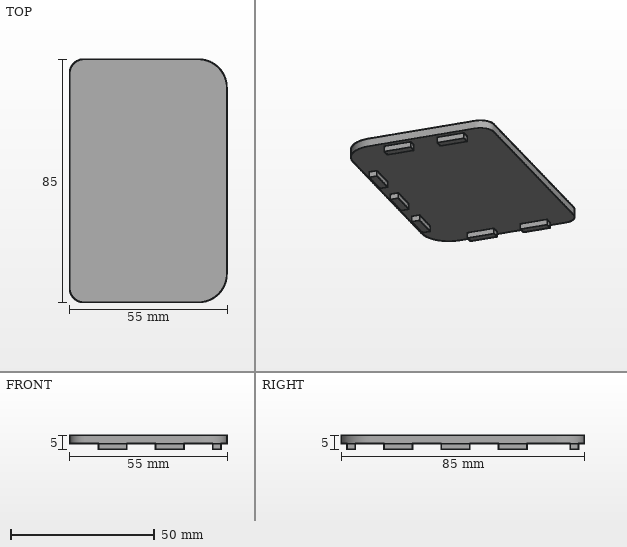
import cadquery as cq

width = 55.0
length = 85.0
plate_thickness = 3.0
left_corner_radius = 5.0
right_corner_radius = 10.0

tab_length = 10.0
tab_thickness = 3.0
tab_height = 2.0
tab_inset = 2.0
tab_pitch = 20.0
end_tab_count = 2
side_tab_count = 3
first_end_tab_x = 10.0
first_side_tab_y = 15.0


def make_plate():
    """Plate with its lower left corner at the origin and its underside at Z = 0."""
    plate = cq.Workplane("XY").box(width, length, plate_thickness, centered=False)
    plate = plate.edges("|Z and <X").fillet(left_corner_radius)
    return plate.edges("|Z and >X").fillet(right_corner_radius)


def make_tab(x, y, size_x, size_y):
    """Tab hanging from the plate, with its lower left corner at (x, y)."""
    tab = cq.Workplane("XY").box(size_x, size_y, tab_height, centered=False)
    return tab.translate((x, y, -tab_height))


result = make_plate()

far_end_tab_y = length - tab_inset - tab_thickness
for index in range(end_tab_count):
    tab_x = first_end_tab_x + index * tab_pitch
    for tab_y in (tab_inset, far_end_tab_y):
        result = result.union(make_tab(tab_x, tab_y, tab_length, tab_thickness))

side_tab_x = width - tab_inset - tab_thickness
for index in range(side_tab_count):
    tab_y = first_side_tab_y + index * tab_pitch
    result = result.union(make_tab(side_tab_x, tab_y, tab_thickness, tab_length))